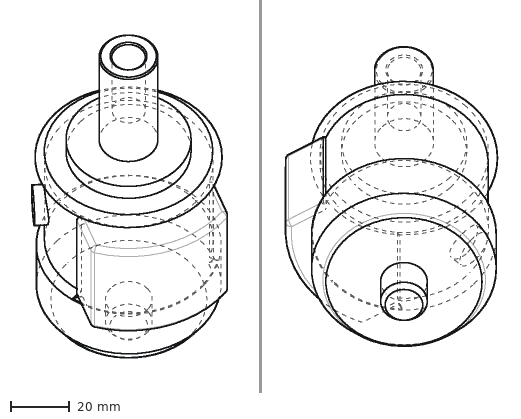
import cadquery as cq
import math

shaft_end_z = 0.0
housing_bottom_z = 13.8
base_lip_z = 14.9
cap_cone_top_z = 21.3
cap_shoulder_z = 42.0
barrel_bottom_z = 44.9
flange_bottom_z = 84.0
flange_edge_z = 87.2
flange_top_z = 90.3
collar_top_z = 96.4
shaft_top_z = 139.5

tail_radius = 8.0
base_radius = 26.6
base_lip_radius = 27.8
cap_radius = 31.5
barrel_radius = 28.7
flange_radius = 32.0
collar_radius = 21.3
shaft_radius = 10.0

tail_chamfer_height = 2.1
tail_chamfer_width = 1.5
shaft_chamfer = 0.5
bore_radius = 5.7
bore_chamfer = 0.5
bore_depth = 27.9

box_outer_radius = 40.5
box_half_width = 24.7
box_back_x = 17.0
box_bottom_z = 42.3
box_top_z = flange_bottom_z
box_fillet = 2.0

button_radius = 7.0
button_face_distance = 32.6
button_angle = 15.0
button_z = 65.1
button_root_distance = 20.9


def turned_body():
    """Revolve the stepped half-profile of shaft, collar, flange and housing."""
    profile = [
        (0, shaft_end_z),
        (tail_radius - tail_chamfer_width, shaft_end_z),
        (tail_radius, shaft_end_z + tail_chamfer_height),
        (tail_radius, housing_bottom_z),
        (base_radius, housing_bottom_z),
        (base_lip_radius, base_lip_z),
        (cap_radius, cap_cone_top_z),
        (cap_radius, cap_shoulder_z),
        (barrel_radius, barrel_bottom_z),
        (barrel_radius, flange_bottom_z),
        (flange_radius, flange_edge_z),
        (barrel_radius, flange_top_z),
        (collar_radius, flange_top_z),
        (collar_radius, collar_top_z),
        (shaft_radius, collar_top_z),
        (shaft_radius, shaft_top_z - shaft_chamfer),
        (shaft_radius - shaft_chamfer, shaft_top_z),
        (0, shaft_top_z),
    ]
    return cq.Workplane("XZ").polyline(profile).close().revolve(360, (0, 0), (0, 1))


def side_box():
    """Box with two flat sides and an arc wall, rounded everywhere but at its back."""
    corner_x = math.sqrt(box_outer_radius**2 - box_half_width**2)
    box = (
        cq.Workplane("XY", origin=(0, 0, box_bottom_z))
        .moveTo(box_back_x, -box_half_width)
        .lineTo(corner_x, -box_half_width)
        .threePointArc((box_outer_radius, 0), (corner_x, box_half_width))
        .lineTo(box_back_x, box_half_width)
        .close()
        .extrude(box_top_z - box_bottom_z)
    )
    back_edges = cq.selectors.BoxSelector(
        (box_back_x - 0.1, -box_outer_radius, box_bottom_z - 1.4),
        (box_back_x + 0.1, box_outer_radius, box_top_z + 1.4),
    )
    return box.edges(cq.selectors.InverseSelector(back_edges)).fillet(box_fillet)


def box_clearance():
    """Part of the sloped housing shoulder removed around the lower end of the box."""
    return (
        cq.Workplane("XY", origin=(0, 0, box_bottom_z))
        .circle(cap_radius)
        .circle(barrel_radius)
        .extrude(barrel_bottom_z - box_bottom_z)
        .intersect(
            cq.Workplane("XY", origin=(box_back_x, 0, box_bottom_z))
            .rect(2 * cap_radius, 2 * cap_radius)
            .extrude(barrel_bottom_z - box_bottom_z)
            .translate((cap_radius, 0, 0))
        )
    )


def button():
    """Short cylinder pointing radially outward, turned from -Y toward -X."""
    return (
        cq.Workplane("XZ", origin=(0, -button_root_distance, button_z))
        .circle(button_radius)
        .extrude(button_face_distance - button_root_distance)
        .rotate((0, 0, 0), (0, 0, 1), -button_angle)
    )


def shaft_bore():
    """Blind bore in the upper shaft end with a chamfered mouth."""
    profile = [
        (0, shaft_top_z - bore_depth),
        (bore_radius, shaft_top_z - bore_depth),
        (bore_radius, shaft_top_z - bore_chamfer),
        (bore_radius + bore_chamfer, shaft_top_z),
        (0, shaft_top_z),
    ]
    return cq.Workplane("XZ").polyline(profile).close().revolve(360, (0, 0), (0, 1))


result = turned_body().cut(box_clearance()).union(side_box()).union(button()).cut(shaft_bore())